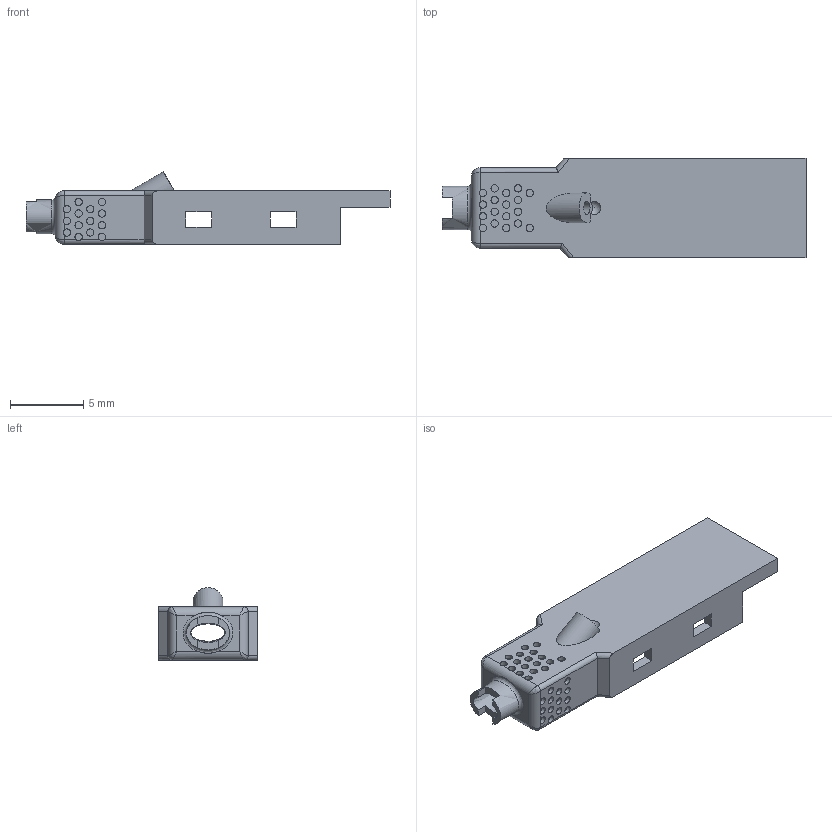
import cadquery as cq
import math


total_length = 24.9
body_width = 6.8
body_height = 3.65
body_front = 2.0
body_rear = 21.5
neck_width = 5.48
shoulder_start_near = 8.08
shoulder_start_far = 7.8
shoulder_length = 0.54
tab_thickness = 1.11
front_round = 0.6
side_round = 0.3

cavity_front = 8.6
wall_thickness = 0.66
window_starts = (10.92, 16.7)
window_length = 1.77
window_bottom = 1.16
window_height = 1.06

nozzle_z = 1.88
nozzle_half_width = 1.48
nozzle_half_height = 1.17
bore_half_width = 1.18
bore_half_height = 0.66
flare_radius = 0.23
flare_embed = 0.2
notch_width = 1.4
notch_depth = 0.7

tube_diameter = 2.05
tube_bore_diameter = 0.9
tube_angle = 30.0
tube_top = 4.96
tube_top_x = 9.39
tube_length = 3.4
dish_x = 10.41
dish_depth = 0.25

dimple_diameter = 0.5
dimple_depth = 0.3
dimple_pitch = 0.8
dimple_first_x = 2.8
dimple_columns = 4
long_column = 4
short_column = 3
top_low_row = -1.37
top_high_row = -1.06
side_low_row = 0.5
side_high_row = 0.8

overrun = 1.0


def box(x0, x1, y0, y1, z0, z1):
    return cq.Workplane("XY").box(x1 - x0, y1 - y0, z1 - z0, centered=False).translate((x0, y0, z0))


def make_body():
    half_neck = neck_width / 2
    half_body = body_width / 2
    outline = [
        (body_front, -half_neck),
        (shoulder_start_near, -half_neck),
        (shoulder_start_near + shoulder_length, -half_body),
        (total_length, -half_body),
        (total_length, half_body),
        (shoulder_start_far + shoulder_length, half_body),
        (shoulder_start_far, half_neck),
        (body_front, half_neck),
    ]
    body = cq.Workplane("XY").polyline(outline).close().extrude(body_height)
    body = body.faces("<X").edges().fillet(front_round)
    long_edges = cq.selectors.BoxSelector(
        (body_front + front_round, -half_body, -overrun),
        (shoulder_start_near + shoulder_length, half_body, body_height + overrun),
    )
    return body.edges("#Z").edges(long_edges).fillet(side_round)


def ellipse_prism(half_width, half_height, x0, x1):
    profile = cq.Workplane("YZ", origin=(x0, 0, nozzle_z)).ellipse(half_width, half_height)
    return profile.extrude(x1 - x0)


def make_nozzle():
    """Elliptical spout whose root flares into the neck with a concave fillet."""
    spout = ellipse_prism(nozzle_half_width, nozzle_half_height, 0, body_front + flare_embed)
    foot = ellipse_prism(
        nozzle_half_width + 2 * flare_radius,
        nozzle_half_height + 2 * flare_radius,
        body_front,
        body_front + flare_embed,
    )
    root_top = (body_front, 0, nozzle_z + nozzle_half_height)
    root_edge = cq.selectors.NearestToPointSelector(root_top)
    flared = foot.union(spout).edges(root_edge).fillet(flare_radius)
    trim = ellipse_prism(
        nozzle_half_width + flare_radius,
        nozzle_half_height + flare_radius,
        0,
        body_front + flare_embed,
    )
    return flared.intersect(trim)


def make_bore():
    """Elliptical passage from the nozzle tip to the cavity."""
    return ellipse_prism(bore_half_width, bore_half_height, -overrun, cavity_front + overrun)


def make_notch():
    """Slot through the top and bottom walls of the nozzle tip."""
    half_notch = notch_width / 2
    return box(-overrun, notch_depth, -half_notch, half_notch, 0, body_height)


def make_cavity():
    """Hollow under the roof, open to the bottom and to the rear."""
    half_cavity = body_width / 2 - wall_thickness
    roof = body_height - tab_thickness
    return box(cavity_front, total_length + overrun, -half_cavity, half_cavity, -overrun, roof)


def make_tab_relief():
    """Space below the tab, behind the rear face of the body."""
    roof = body_height - tab_thickness
    return box(body_rear, total_length + overrun, -body_width, body_width, -overrun, roof)


def make_windows():
    windows = cq.Workplane("XY")
    for start in window_starts:
        windows = windows.union(box(
            start, start + window_length, -body_width, body_width,
            window_bottom, window_bottom + window_height,
        ))
    return windows


def inclined_cylinder(diameter, length, overshoot=0.0):
    """Cylinder along the tube axis, running down and forward from the tube's end face."""
    slope = math.radians(tube_angle)
    tube_radius = tube_diameter / 2
    axis = cq.Vector(-math.cos(slope), 0, -math.sin(slope))
    end_centre = cq.Vector(
        tube_top_x + tube_radius * math.sin(slope), 0, tube_top - tube_radius * math.cos(slope)
    )
    start = end_centre - axis * overshoot
    return cq.Workplane(cq.Solid.makeCylinder(diameter / 2, length + overshoot, start, axis))


def make_tube():
    """Part of the inclined tube that stands above the underside of the roof."""
    above_roof = box(0, total_length, -body_width, body_width, body_height - tab_thickness, tube_top)
    return inclined_cylinder(tube_diameter, tube_length).intersect(above_roof)


def make_dish():
    """Shallow spherical dish in the top face, just behind the tube."""
    rim_radius = tube_bore_diameter / 2
    sphere_radius = (rim_radius**2 + dish_depth**2) / (2 * dish_depth)
    centre = (dish_x, 0, body_height + sphere_radius - dish_depth)
    sphere = cq.Workplane("XY").sphere(sphere_radius).translate(centre)
    below_top = box(0, total_length, -body_width, body_width, 0, body_height)
    return sphere.intersect(below_top)


def column(number, first, rows):
    """Positions of one dimple column: X along the neck, second value across it."""
    x = dimple_first_x + number * dimple_pitch
    return [(x, first + row * dimple_pitch) for row in rows]


def make_top_dimples():
    points = []
    for number in range(dimple_columns):
        first = top_low_row if number % 2 == 0 else top_high_row
        points += column(number, first, range(long_column))
    points += column(dimple_columns, top_low_row, (0, long_column - 1))
    plane = cq.Workplane("XY", origin=(0, 0, body_height - dimple_depth))
    return plane.pushPoints(points).circle(dimple_diameter / 2).extrude(dimple_depth)


def make_side_dimples():
    points = []
    for number in range(dimple_columns):
        if number % 2 == 0:
            points += column(number, side_high_row, range(short_column))
        else:
            points += column(number, side_low_row, range(long_column))
    plane = cq.Workplane("XZ", origin=(0, -neck_width / 2 + dimple_depth, 0))
    return plane.pushPoints(points).circle(dimple_diameter / 2).extrude(dimple_depth)


result = make_body().cut(make_tab_relief())
result = result.union(make_nozzle()).cut(make_notch())
result = result.cut(make_dish()).union(make_tube())
result = result.cut(make_cavity()).cut(make_windows())
result = result.cut(make_bore())
result = result.cut(inclined_cylinder(tube_bore_diameter, tube_length, overrun))
result = result.cut(make_top_dimples()).cut(make_side_dimples())